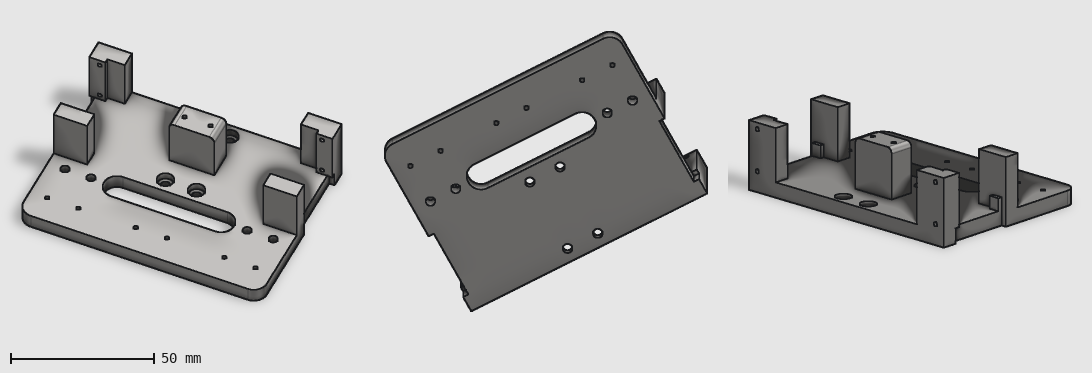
import cadquery as cq


plate_length = 93.4
plate_width = 68.0
plate_thickness = 5.7
corner_radius = 5.0
half_length = plate_length / 2
side_notch_depth = 2.1

post_length = 12.9
post_thickness = 6.1
post_top = 25.7
front_post_back_y = -31.7

pad_length = 6.2
pad_projection = 1.7
front_pad_top = 10.5
pad_hole_diameter = 1.6
pad_hole_x = 42.7
pad_hole_heights = (7.75, 23.3)

block_length = 17.4
block_width = 10.1
block_top = 24.7
block_center_y = -18.9
block_edge_radius = 2.1
block_hole_diameter = 1.6
block_hole_spacing = 10.0
block_hole_depth = 10.0

counterbore_spacing_x = 12.0
counterbore_spacing_y = 28.0
counterbore_hole_diameter = 3.4
counterbore_diameter = 6.2
counterbore_depth = 2.8

slot_length = 50.0
slot_width = 10.0
slot_y = -42.9
mounting_hole_diameter = 3.3
mounting_hole_x = (30.0, 40.0)

small_hole_diameter = 1.6
small_hole_y = -57.8
small_hole_x = (6.0, 28.0, 40.0)


def box(x_min, x_max, y_back, y_front, z_min, z_max):
    """Box between two opposite corners, given by its limits on each axis."""
    size = (x_max - x_min, y_back - y_front, z_max - z_min)
    return cq.Workplane("XY").box(*size, centered=False).translate((x_min, y_front, z_min))


def both_sides(x_positions, y):
    """Points at each X position and at its mirror image."""
    return [(side * x, y) for x in x_positions for side in (-1, 1)]


def make_plate():
    plate = box(-half_length, half_length, 0, -plate_width, 0, plate_thickness)
    plate = plate.edges("|Z and <Y").fillet(corner_radius)
    notch = box(
        half_length - side_notch_depth, half_length,
        -post_thickness, front_post_back_y,
        0, plate_thickness,
    )
    return plate.cut(notch).cut(notch.mirror("YZ"))


def make_right_posts():
    """Back and front posts of the right side, with their pads."""
    post_inner_x = half_length - post_length
    pad_inner_x = half_length - pad_length
    back_post = box(post_inner_x, half_length, 0, -post_thickness, 0, post_top)
    back_pad = box(
        pad_inner_x, half_length,
        -post_thickness, -post_thickness - pad_projection,
        plate_thickness, post_top,
    )
    pad_holes = (
        cq.Workplane("XZ")
        .pushPoints([(pad_hole_x, height) for height in pad_hole_heights])
        .circle(pad_hole_diameter / 2)
        .extrude(post_thickness + pad_projection)
    )
    front_post = box(
        post_inner_x, half_length,
        front_post_back_y, front_post_back_y - post_thickness,
        0, post_top,
    )
    front_pad = box(
        pad_inner_x, half_length - side_notch_depth,
        front_post_back_y + pad_projection, front_post_back_y,
        0, front_pad_top,
    )
    return back_post.union(back_pad).cut(pad_holes).union(front_post).union(front_pad)


def make_block():
    half_block = block_length / 2
    block = box(
        -half_block, half_block,
        block_center_y + block_width / 2, block_center_y - block_width / 2,
        0, block_top,
    )
    block = block.edges("|Y and >Z").fillet(block_edge_radius)
    holes = (
        cq.Workplane("XY", origin=(0, 0, block_top))
        .pushPoints(both_sides([block_hole_spacing / 2], block_center_y))
        .circle(block_hole_diameter / 2)
        .extrude(-block_hole_depth)
    )
    return block.cut(holes)


def cut_plate_openings(body):
    plate_top = cq.Workplane("XY", origin=(0, 0, plate_thickness))
    slot = plate_top.center(0, slot_y).slot2D(slot_length, slot_width).extrude(-plate_thickness)
    mounting_holes = (
        plate_top.pushPoints(both_sides(mounting_hole_x, slot_y))
        .circle(mounting_hole_diameter / 2)
        .extrude(-plate_thickness)
    )
    small_holes = (
        plate_top.pushPoints(both_sides(small_hole_x, small_hole_y))
        .circle(small_hole_diameter / 2)
        .extrude(-plate_thickness)
    )
    counterbore_pattern = plate_top.center(0, block_center_y).rarray(
        counterbore_spacing_x, counterbore_spacing_y, 2, 2
    )
    bolt_holes = counterbore_pattern.circle(counterbore_hole_diameter / 2).extrude(-plate_thickness)
    counterbores = counterbore_pattern.circle(counterbore_diameter / 2).extrude(-counterbore_depth)
    for opening in (slot, mounting_holes, small_holes, bolt_holes, counterbores):
        body = body.cut(opening)
    return body


right_posts = make_right_posts()
body = make_plate().union(right_posts).union(right_posts.mirror("YZ")).union(make_block())
result = cut_plate_openings(body)